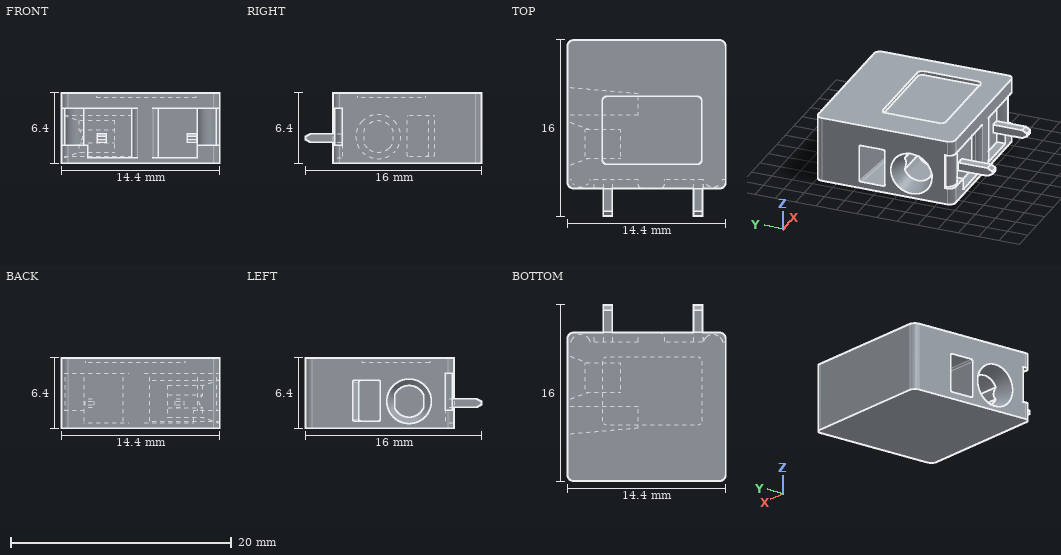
import cadquery as cq

width = 14.4
total_length = 16.0
height = 6.4
pin_length = 2.5
depth = total_length - pin_length
corner_radius = 0.6

recess_left, recess_right = 3.17, 12.22
recess_front, recess_back = 2.2, 8.38
recess_depth = 0.4
recess_radius = 0.45

pocket_depth = 0.83
pocket_top = 5.0
pocket_floor = 0.51
left_pocket_start = 2.42
right_pocket_end = 12.37
pillar_left, pillar_right = 6.4, 8.8
pillar_radius = 0.5

corner_floor = 1.62
post_radius = 0.9
post_inset = 1.18
post_front = 0.16

pin_width = 0.83
pin_height = 0.8
pin_bottom = 1.89
pin_taper_length = 0.46
pin_taper_height = 0.25
pin_lefts = (3.26, 11.45)

entry_diameter = 4.05
entry_depth = 1.92
bore_diameter = 2.88
bore_flat_width = 2.64
bore_depth = 4.8
entry_y, entry_z = 4.1, 2.45

window_front, window_back = 6.7, 9.22
window_inner_back = 8.65
window_bottom, window_top = 0.65, 4.35
window_depth = 6.4
window_radius = 0.16


def block(x_range, y_range, z_range):
    """Axis-aligned box between pairs of limits."""
    limits = (x_range, y_range, z_range)
    sizes = [high - low for low, high in limits]
    corner = tuple(low for low, high in limits)
    return cq.Workplane("XY").box(*sizes, centered=False).translate(corner)


def make_housing():
    body = block((0, width), (0, depth), (0, height)).edges("|Z").fillet(corner_radius)
    recess = block(
        (recess_left, recess_right),
        (recess_front, recess_back),
        (height - recess_depth, height),
    )
    return body.cut(recess.edges("|Z").fillet(recess_radius))


def make_front_opening():
    """Full-width upper opening plus two deeper pockets, less the pillar."""
    front = (0, pocket_depth)
    opening = block((0, width), front, (corner_floor, pocket_top))
    lower = block((left_pocket_start, right_pocket_end), front, (pocket_floor, corner_floor))
    pillar = block((pillar_left, pillar_right), front, (pocket_floor, pocket_top))
    pillar = pillar.edges("|Z and <Y").fillet(pillar_radius)
    return opening.union(lower).cut(pillar)


def make_post(x):
    return (
        cq.Workplane("XY", origin=(x, post_front + post_radius, corner_floor))
        .circle(post_radius)
        .extrude(pocket_top - corner_floor)
    )


def make_pin(left):
    """Rectangular pin with its tip tapered above and below."""
    tip = -pin_length
    shoulder = tip + pin_taper_length
    top = pin_bottom + pin_height
    profile = [
        (pocket_depth, pin_bottom),
        (shoulder, pin_bottom),
        (tip, pin_bottom + pin_taper_height),
        (tip, top - pin_taper_height),
        (shoulder, top),
        (pocket_depth, top),
    ]
    return cq.Workplane("YZ", origin=(left, 0, 0)).polyline(profile).close().extrude(pin_width)


def make_wire_entry():
    """Funnel leading into a round bore with flats at its front and back."""
    mouth = cq.Workplane("YZ", origin=(0, entry_y, entry_z))
    funnel = (
        mouth.circle(entry_diameter / 2)
        .workplane(offset=entry_depth)
        .circle(bore_flat_width / 2)
        .loft()
    )
    bore = mouth.circle(bore_diameter / 2).extrude(bore_depth)
    flats = mouth.rect(bore_flat_width, bore_diameter).extrude(bore_depth)
    return funnel.union(bore.intersect(flats))


def make_window():
    plan = [
        (0, window_front),
        (window_depth, window_front),
        (window_depth, window_inner_back),
        (0, window_back),
    ]
    window = (
        cq.Workplane("XY", origin=(0, 0, window_bottom))
        .polyline(plan)
        .close()
        .extrude(window_top - window_bottom)
    )
    return window.edges("(<Z or >Z) and (not <X) and (not >X)").fillet(window_radius)


result = make_housing().cut(make_front_opening())
for post_x in (post_inset, width - post_inset):
    result = result.union(make_post(post_x))
for pin_left in pin_lefts:
    result = result.union(make_pin(pin_left))
result = result.cut(make_wire_entry()).cut(make_window())